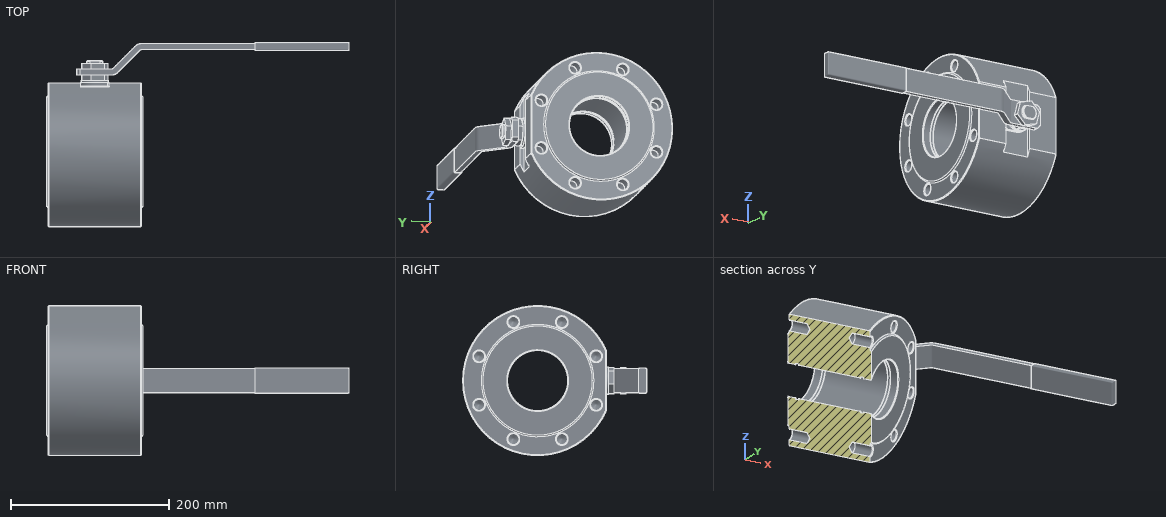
import cadquery as cq
import math


housing_radius = 94.75
housing_length = 118.0
housing_chamfer = 1.0
face_diameter = 142.0
face_height = 2.0
face_chamfer = face_height
bore_diameter = 76.0
bore_chamfer = 1.0
groove_depth = 1.0
groove_width = 4.2
groove_inset = 11.8
bolt_circle_diameter = 160.0
bolt_count = 8
bolt_hole_diameter = 14.0
bolt_hole_depth = 26.0
bolt_hole_chamfer = 1.0
drill_point_angle = 118.0
stem_flat_y = 87.0
slot_floor_y = 82.0

plate_radius = 18.0
plate_top_y = 87.2
plate_corner_chamfer = 2.0
plate_bottom_chamfer = 0.8
neck_radius = 17.3
neck_top_y = 89.7
hex_across_flats = 30.0
hex_turn = 45.0
nut_top_y = 111.6
stem_radius = 10.2
stem_across_flats = 16.0
stem_top_y = 115.0
stem_chamfer = 1.0

lever_thickness = 8.0
lever_width = 31.0
lever_bottom_y = 96.6
lever_start_x = -23.0
lever_end_chamfer = 4.6
bend_start_x = 24.1
bend_angle = 45.0
bend_inner_radius = 3.0
grip_start_x = 202.5
grip_end_x = 321.0
grip_wall_y = 1.2
grip_wall_z = 0.5
grip_top_y = 138.0
grip_round = 1.2
grip_back_round = 2.0

slot_width = 2 * plate_radius
lever_top_y = lever_bottom_y + lever_thickness
lever_rise = grip_top_y - grip_wall_y - lever_top_y


def x_cylinder(diameter, start_x, length):
    return cq.Workplane("YZ").workplane(offset=start_x).circle(diameter / 2).extrude(length)


def y_plane(y):
    """Sketch plane at height y whose local axes are +X and +Z."""
    return cq.Workplane(cq.Plane(origin=(0, y, 0), xDir=(1, 0, 0), normal=(0, -1, 0)))


def make_bolt_hole():
    """Blind drilled hole along +X from the origin, with a chamfered mouth and a conical end."""
    radius = bolt_hole_diameter / 2
    tip_length = radius / math.tan(math.radians(drill_point_angle / 2))
    return (
        cq.Workplane("XY")
        .moveTo(0, 0)
        .lineTo(0, radius + bolt_hole_chamfer)
        .lineTo(bolt_hole_chamfer, radius)
        .lineTo(bolt_hole_depth, radius)
        .lineTo(bolt_hole_depth + tip_length, 0)
        .close()
        .revolve(360, (0, 0, 0), (1, 0, 0))
    )


def make_housing():
    half_length = housing_length / 2
    full_half_length = half_length + face_height
    body = x_cylinder(2 * housing_radius, -half_length, housing_length)

    cut_depth = housing_radius - stem_flat_y
    body = body.cut(
        cq.Workplane("XY")
        .box(housing_length, cut_depth, 2 * housing_radius)
        .translate((0, stem_flat_y + cut_depth / 2, 0))
    )
    body = body.faces("<X or >X").edges().chamfer(housing_chamfer)

    body = body.cut(
        cq.Workplane("XY")
        .box(slot_width, housing_radius, 2 * housing_radius)
        .translate((0, slot_floor_y + housing_radius / 2, 0))
    )

    faces = x_cylinder(face_diameter, -full_half_length, 2 * full_half_length)
    faces = faces.faces("<X or >X").chamfer(face_chamfer)
    body = body.union(faces)

    body = body.cut(x_cylinder(bore_diameter, -full_half_length, 2 * full_half_length))
    smallest_circle = cq.selectors.RadiusNthSelector(0)
    body = body.faces("<X or >X").edges(smallest_circle).chamfer(bore_chamfer)
    for side in (-1, 1):
        groove_x = side * (full_half_length - groove_inset)
        groove = x_cylinder(bore_diameter + 2 * groove_depth, groove_x, -side * groove_width)
        body = body.cut(groove)

    hole = make_bolt_hole().translate((-half_length, bolt_circle_diameter / 2, 0))
    pitch_angle = 360 / bolt_count
    for index in range(bolt_count):
        turned = hole.rotate((0, 0, 0), (1, 0, 0), (index + 0.5) * pitch_angle)
        body = body.cut(turned).cut(turned.mirror("YZ"))
    return body


def make_stop_plate():
    """Plate that fills the width of the housing slot."""
    height = plate_top_y - slot_floor_y
    square_half = (
        y_plane(plate_top_y)
        .center(plate_radius / 2, 0)
        .rect(plate_radius, 2 * plate_radius)
        .extrude(height)
        .edges("|Y and >X")
        .chamfer(plate_corner_chamfer)
    )
    plate = y_plane(plate_top_y).circle(plate_radius).extrude(height).union(square_half)
    return plate.faces("<Y").edges().chamfer(plate_bottom_chamfer)


def make_hexagon(top_y, bottom_y):
    corner_diameter = hex_across_flats / math.cos(math.pi / 6)
    hexagon = y_plane(top_y).polygon(6, corner_diameter).extrude(top_y - bottom_y)
    return hexagon.rotate((0, 0, 0), (0, 1, 0), -hex_turn)


def make_stem():
    """Stack below the lever (stop plate, neck, hexagon) and above it (nut, double-D tip)."""
    neck = y_plane(neck_top_y).circle(neck_radius).extrude(neck_top_y - plate_top_y)
    lower_hexagon = make_hexagon(lever_bottom_y, neck_top_y)
    upper_nut = make_hexagon(nut_top_y, lever_top_y)
    tip_height = stem_top_y - nut_top_y
    tip = y_plane(stem_top_y).circle(stem_radius).extrude(tip_height).faces(">Y").chamfer(stem_chamfer)
    tip = tip.intersect(
        y_plane(stem_top_y).rect(2 * stem_radius, stem_across_flats).extrude(tip_height)
    )
    lower_stack = make_stop_plate().union(neck).union(lower_hexagon)
    return lower_stack, upper_nut.union(tip)


def make_lever():
    """Flat bar with a double bend that steps its outer end away from the housing."""
    corner_shift = lever_thickness / 2 * math.tan(math.radians(bend_angle / 2))
    bend_run = lever_rise / math.tan(math.radians(bend_angle))
    low_top_x = bend_start_x - corner_shift
    low_bottom_x = bend_start_x + corner_shift
    bar = (
        cq.Workplane("XY")
        .workplane(offset=-lever_width / 2)
        .moveTo(lever_start_x, lever_bottom_y)
        .lineTo(low_bottom_x, lever_bottom_y)
        .lineTo(low_bottom_x + bend_run, lever_bottom_y + lever_rise)
        .lineTo(grip_start_x, lever_bottom_y + lever_rise)
        .lineTo(grip_start_x, lever_top_y + lever_rise)
        .lineTo(low_top_x + bend_run, lever_top_y + lever_rise)
        .lineTo(low_top_x, lever_top_y)
        .lineTo(lever_start_x, lever_top_y)
        .close()
        .extrude(lever_width)
    )
    bar = bar.edges("|Y and <X").chamfer(lever_end_chamfer)

    bend_outer_radius = bend_inner_radius + lever_thickness
    inner_corners = (
        (low_top_x, lever_top_y),
        (low_bottom_x + bend_run, lever_bottom_y + lever_rise),
    )
    outer_corners = (
        (low_bottom_x, lever_bottom_y),
        (low_top_x + bend_run, lever_top_y + lever_rise),
    )
    for corners, radius in ((inner_corners, bend_inner_radius), (outer_corners, bend_outer_radius)):
        for x, y in corners:
            bar = bar.edges(cq.selectors.NearestToPointSelector((x, y, 0))).fillet(radius)
    return bar


def make_grip():
    """Sleeve over the outer end of the lever, solid with it."""
    length = grip_end_x - grip_start_x
    thickness = lever_thickness + 2 * grip_wall_y
    grip = (
        cq.Workplane("XY")
        .box(length, thickness, lever_width + 2 * grip_wall_z)
        .translate((grip_start_x + length / 2, grip_top_y - thickness / 2, 0))
    )
    grip = grip.faces(">Y").edges("|X").fillet(grip_back_round)
    return grip.edges("(|X and <Y) or >X").fillet(grip_round)


housing = make_housing()
lower_stem, upper_stem = make_stem()
handle = lower_stem.union(make_lever()).union(upper_stem).union(make_grip())

result = cq.Compound.makeCompound([housing.val(), handle.val()])